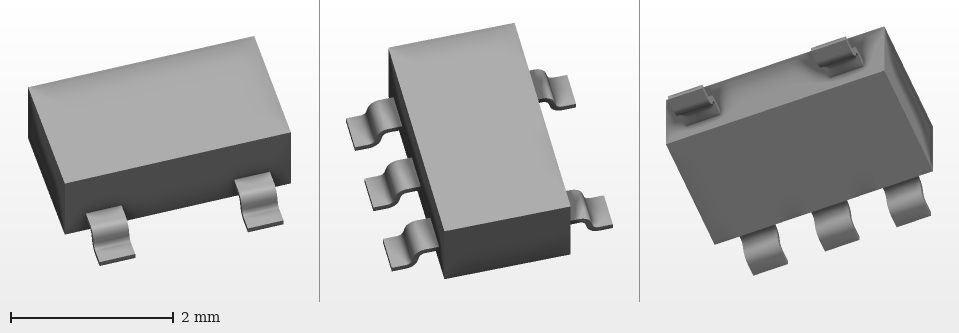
import cadquery as cq
import math

HOUSING_WIDTH = 1.6
HOUSING_LENGTH = 2.9
HOUSING_HEIGHT = 0.99

SPAN = 2.8
LEAD_PITCH = 0.95
LEAD_WIDTH = 0.458
LEAD_THICKNESS = 0.075
LEAD_HEIGHT = 0.32
FOOT_LENGTH = 0.177
INNER_BEND_RADIUS = 0.08
SHANK_TILT = math.radians(75)

MARKER_DIAMETER = 0.08
MARKER_DEPTH = 0.03
MARKER_X = -0.485
MARKER_Y = LEAD_PITCH

LEAD_POSITIONS = [(-1, -1), (-1, 0), (-1, 1), (1, -1), (1, 1)]


def make_marker():
    """Disc whose upper face is level with the top of the housing."""
    return (
        cq.Workplane("XY", origin=(MARKER_X, MARKER_Y, HOUSING_HEIGHT - MARKER_DEPTH))
        .circle(MARKER_DIAMETER / 2)
        .extrude(MARKER_DEPTH)
    )


def make_housing(marker):
    """Block with a recess that fits the marker."""
    block = cq.Workplane("XY").box(
        HOUSING_WIDTH, HOUSING_LENGTH, HOUSING_HEIGHT, centered=(True, True, False)
    )
    return block.cut(marker)


def point_on_arc(center, radius, angle):
    return (center[0] + radius * math.cos(angle), center[1] + radius * math.sin(angle))


def make_lead(side, row):
    """S-bent strip from the housing wall down to the seating plane."""
    outer_bend_radius = INNER_BEND_RADIUS + LEAD_THICKNESS
    bend_diameter = INNER_BEND_RADIUS + outer_bend_radius
    drop = LEAD_HEIGHT - LEAD_THICKNESS
    shank_length = (drop - bend_diameter * (1 - math.cos(SHANK_TILT))) / math.sin(SHANK_TILT)
    bend_run = bend_diameter * math.sin(SHANK_TILT) + shank_length * math.cos(SHANK_TILT)

    toe_x = -SPAN / 2
    wall_x = -HOUSING_WIDTH / 2
    foot_end_x = toe_x + FOOT_LENGTH
    shoulder_start_x = foot_end_x + bend_run
    shoulder_bottom = LEAD_HEIGHT - LEAD_THICKNESS

    lower_center = (foot_end_x, outer_bend_radius)
    upper_center = (shoulder_start_x, LEAD_HEIGHT - outer_bend_radius)
    lower_start = -math.pi / 2
    lower_middle = lower_start + SHANK_TILT / 2
    lower_end = lower_start + SHANK_TILT
    upper_start = lower_end + math.pi
    upper_middle = lower_middle + math.pi

    profile = (
        cq.Workplane("XZ", origin=(0, LEAD_WIDTH / 2, 0))
        .moveTo(toe_x, 0)
        .lineTo(foot_end_x, 0)
        .threePointArc(
            point_on_arc(lower_center, outer_bend_radius, lower_middle),
            point_on_arc(lower_center, outer_bend_radius, lower_end),
        )
        .lineTo(*point_on_arc(upper_center, INNER_BEND_RADIUS, upper_start))
        .threePointArc(
            point_on_arc(upper_center, INNER_BEND_RADIUS, upper_middle),
            (shoulder_start_x, shoulder_bottom),
        )
        .lineTo(wall_x, shoulder_bottom)
        .lineTo(wall_x, LEAD_HEIGHT)
        .lineTo(shoulder_start_x, LEAD_HEIGHT)
        .threePointArc(
            point_on_arc(upper_center, outer_bend_radius, upper_middle),
            point_on_arc(upper_center, outer_bend_radius, upper_start),
        )
        .lineTo(*point_on_arc(lower_center, INNER_BEND_RADIUS, lower_end))
        .threePointArc(
            point_on_arc(lower_center, INNER_BEND_RADIUS, lower_middle),
            (foot_end_x, LEAD_THICKNESS),
        )
        .lineTo(toe_x, LEAD_THICKNESS)
        .close()
    )
    lead = profile.extrude(LEAD_WIDTH)
    if side > 0:
        lead = lead.rotate((0, 0, 0), (0, 0, 1), 180)
    return lead.translate((0, row * LEAD_PITCH, 0))


marker = make_marker()
housing = make_housing(marker)
leads = [make_lead(side, row) for side, row in LEAD_POSITIONS]

result = cq.Compound.makeCompound(
    [housing.val(), marker.val(), *[lead.val() for lead in leads]]
)